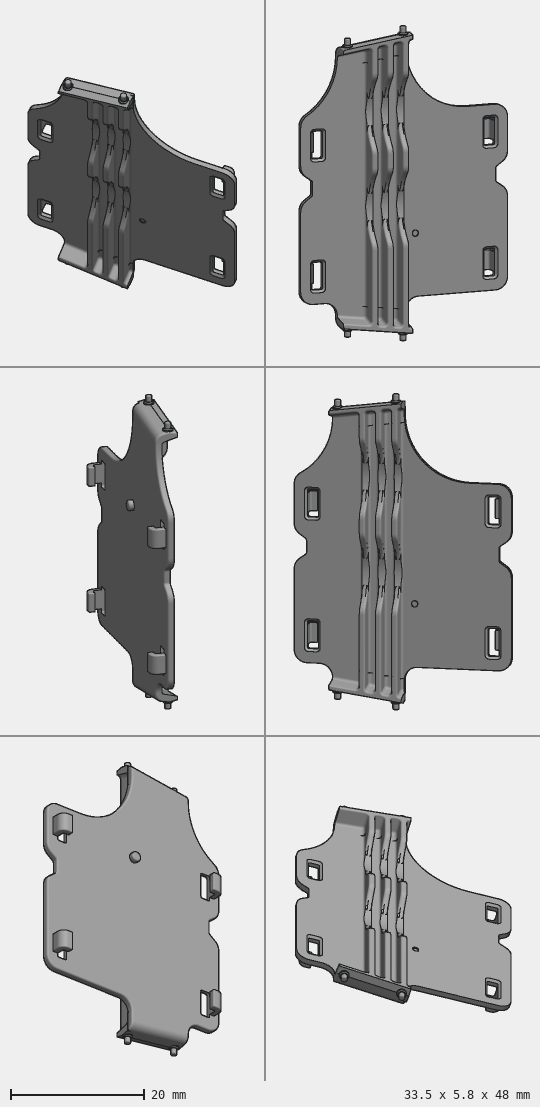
import cadquery as cq
import math

overall_length = 48.05
plate_width = 33.5
plate_thick = 1.0
plate_top = 10.65
plate_bottom = -17.75
corner_radius = 2.0
back_edge_radius = 0.3
half_width = plate_width / 2

neck_left = -10.8
neck_right = 0.25
neck_left_end = 19.95
neck_right_end = 20.75
shoulder_radius = 10.0
left_shoulder_z = 19.8
neck_foot_radius = 2.0

notch_depth = 1.9
notch_floor = 2.2
notch_mouth = 4.9
notch_root_radius = 0.5
notch_lip_radius = 2.0

front_y = -3.5
flange_right = 0.4
flange_slope = 7.7
ridge_y = -2.3
ridge_drop = 0.25
flange_bend_radius = 1.3
flange_lip_z = 20.6
flange_root_z = 20.0
flange_root_radius = 0.5
flange_foot_depth = 1.9
flange_excess = 2.4

pin_xs = (-9.7, -0.7)
pin_radius = 0.5
pin_height = 1.15
pin_root = 0.7
pin_tip_radius = 0.215
collar_radius = 0.75
collar_height = 0.2
collar_chamfer = 0.187
collar_root = 0.5

slope_rise = math.tan(math.radians(flange_slope))
ridge_z = overall_length / 2 - pin_height - (pin_xs[-1] - neck_left) * slope_rise

rib_pitch = 2.5
rib_count = 3
first_rib_x = -5.65
rib_xs = [first_rib_x + i * rib_pitch for i in range(rib_count)]
rib_width = 0.95
rib_top_radius = 0.3
rib_end_gap = 0.6
rib_foot_radius = 0.4
pocket_corner_radius = 0.55

scallop_zs = (11.1, -3.4)
scallop_radius = 7.5
scallop_floor = 0.1
scallop_lip_radius = 1.75
scallop_left = -9.6
scallop_length = 12.0

slot_center_x = 13.95
slot_width = 1.7
slot_height = 4.25
slot_corner_radius = 0.25
slot_chamfer = 0.4
hook_zs = (6.55, -13.5)
hook_length = 3.05
hook_thick = 0.95
hook_reach = 2.3
hook_tip_x = 13.7
hook_outer_radius = 1.2
hook_inner_radius = 0.3
hook_edge_radius = 0.2

boss_radius = 0.8
boss_height = 0.8
boss_edge_radius = 0.3
dimple_x = 1.85
dimple_z = -8.07
dimple_radius = 0.5
dimple_depth = 0.2

overlap = 0.25
tiny = 0.025
far = 47.6


def front_plane(y=0.0):
    """XZ workplane at the given Y; extrusions run towards -Y."""
    return cq.Workplane("XZ", origin=(0, y, 0))


def box_edges(body, low, high):
    """Edges of the body whose midpoints lie in the box between two corners."""
    return body.edges(cq.selectors.BoxSelector(low, high))


def add_mirrored(body, plane):
    return body.union(body.mirror(plane))


def ridge_height(x):
    """Z of the top flange's ridge."""
    return ridge_z + (x - neck_left) * slope_rise


def round_corners(body, points, radius):
    """Fillet the edges parallel to Y that pass through the given (x, z) points."""
    for x, z in points:
        low = (x - tiny, -far, z - tiny)
        high = (x + tiny, far, z + tiny)
        body = box_edges(body.edges("|Y"), low, high).fillet(radius)
    return body


def make_plate():
    """Flat plate with curved shoulders, side notches and rounded corners."""
    left_center_x = neck_left - shoulder_radius
    side_dx = -half_width - left_center_x
    left_shoulder_end = left_shoulder_z - math.sqrt(shoulder_radius**2 - side_dx**2)
    sweep_mid = math.asin(side_dx / shoulder_radius) / 2 + math.pi / 4
    left_mid = (
        left_center_x + shoulder_radius * math.sin(sweep_mid),
        left_shoulder_z - shoulder_radius * math.cos(sweep_mid),
    )
    right_shoulder_z = plate_top + shoulder_radius
    diagonal = shoulder_radius * math.sqrt(0.5)
    right_mid = (neck_right + shoulder_radius - diagonal, right_shoulder_z - diagonal)

    body = (
        front_plane()
        .moveTo(neck_left, neck_left_end)
        .lineTo(neck_left, left_shoulder_z)
        .threePointArc(left_mid, (-half_width, left_shoulder_end))
        .lineTo(-half_width, plate_bottom)
        .lineTo(neck_left, plate_bottom)
        .lineTo(neck_left, -neck_left_end)
        .lineTo(neck_right, -neck_right_end)
        .lineTo(neck_right, plate_bottom)
        .lineTo(half_width, plate_bottom)
        .lineTo(half_width, plate_top)
        .lineTo(neck_right + shoulder_radius, plate_top)
        .threePointArc(right_mid, (neck_right, right_shoulder_z))
        .lineTo(neck_right, neck_right_end)
        .close()
        .extrude(plate_thick)
    )
    for side in (-1, 1):
        mouth_x = side * half_width
        floor_x = side * (half_width - notch_depth)
        lips = [(mouth_x, notch_mouth / 2), (mouth_x, -notch_mouth / 2)]
        roots = [(floor_x, -notch_floor / 2), (floor_x, notch_floor / 2)]
        notch = front_plane(overlap).polyline(lips + roots).close()
        body = body.cut(notch.extrude(plate_thick + 2 * overlap))
        body = round_corners(body, lips, notch_lip_radius)
        body = round_corners(body, roots, notch_root_radius)

    outer_corners = [
        (-half_width, left_shoulder_end),
        (-half_width, plate_bottom),
        (half_width, plate_bottom),
        (half_width, plate_top),
    ]
    body = round_corners(body, outer_corners, corner_radius)
    feet = [(neck_left, plate_bottom), (neck_right, plate_bottom)]
    return round_corners(body, feet, neck_foot_radius)


def make_top_flange():
    """Ridged bar that slopes up along +X, left overlong at both ends."""
    back_z = ridge_z - ridge_drop * abs(ridge_y) / abs(front_y - ridge_y)
    foot_z = flange_root_z - flange_foot_depth
    bar = (
        cq.Workplane("YZ", origin=(neck_left - flange_excess, 0, 0))
        .polyline(
            [
                (0, back_z),
                (ridge_y, ridge_z),
                (front_y, ridge_z - ridge_drop),
                (front_y, flange_lip_z),
                (-plate_thick, flange_root_z),
                (-plate_thick, foot_z),
                (0, foot_z),
            ]
        )
        .close()
        .extrude(flange_right - neck_left + 2 * flange_excess)
    )
    for y, z, radius in (
        (0, back_z, flange_bend_radius),
        (-plate_thick, flange_root_z, flange_root_radius),
    ):
        low = (-far, y - tiny, z - tiny)
        high = (far, y + tiny, z + tiny)
        bar = box_edges(bar, low, high).fillet(radius)
    return bar.rotate((neck_left, 0, ridge_z), (neck_left, 1, ridge_z), -flange_slope)


def trim_to_neck(body):
    """Cut the ends off level with the neck; the front part reaches a little further right."""
    front_zone = cq.Workplane("XY").box(
        flange_right - neck_left, far, 2 * far, centered=(False, False, True)
    )
    front_zone = front_zone.translate((neck_left, -far - plate_thick, 0))
    back_zone = cq.Workplane("XY").box(
        neck_right - neck_left, far, 2 * far, centered=(False, False, True)
    )
    back_zone = back_zone.translate((neck_left, -plate_thick, 0))
    return body.intersect(front_zone.union(back_zone))


def make_pin(x):
    """Round-tipped pin with a conical collar, rooted in the top flange."""
    base = ridge_height(x)
    pin = (
        cq.Workplane("XY", origin=(x, ridge_y, base - pin_root))
        .circle(pin_radius)
        .extrude(pin_height + pin_root)
        .faces(">Z")
        .fillet(pin_tip_radius)
    )
    collar = (
        cq.Workplane("XY", origin=(x, ridge_y, base - collar_root))
        .circle(collar_radius)
        .extrude(collar_root + collar_height)
        .faces(">Z")
        .chamfer(collar_chamfer)
    )
    return pin.union(collar)


def make_scallops():
    """Long cutters across all the ribs, each with rounded-over lips."""
    center_y = -plate_thick - scallop_floor - scallop_radius
    lip_center_y = front_y + scallop_lip_radius
    center_gap = scallop_radius + scallop_lip_radius
    reach = math.sqrt(center_gap**2 - (lip_center_y - center_y) ** 2)
    share = scallop_radius / center_gap
    touch_z = reach * share
    touch_y = center_y + (lip_center_y - center_y) * share
    lip_turn = math.atan2(reach, lip_center_y - center_y) / 2
    lip_mid_z = reach - scallop_lip_radius * math.sin(lip_turn)
    lip_mid_y = lip_center_y - scallop_lip_radius * math.cos(lip_turn)
    cutter = cq.Workplane("XY")
    for z in scallop_zs:
        scallop = (
            cq.Workplane("YZ", origin=(scallop_left, 0, z))
            .moveTo(front_y, -reach)
            .threePointArc((lip_mid_y, -lip_mid_z), (touch_y, -touch_z))
            .threePointArc((center_y + scallop_radius, 0), (touch_y, touch_z))
            .threePointArc((lip_mid_y, lip_mid_z), (front_y, reach))
            .lineTo(front_y - overlap, reach)
            .lineTo(front_y - overlap, -reach)
            .close()
            .extrude(scallop_length)
        )
        cutter = cutter.add(scallop)
    return cutter.combine()


def make_rib(x, scallops):
    """One rib between the flanges, sunk into the plate and cut by the scallops."""
    length = 2 * (ridge_height(x) - rib_end_gap)
    depth = -front_y - plate_thick + overlap
    rib = cq.Workplane("XY").box(rib_width, depth, length, centered=(True, False, True))
    return rib.translate((x, front_y, 0)).cut(scallops)


def round_pockets(frame):
    """Round the corners between ribs and flanges, then the front rim around each pocket."""
    walls = [x + side * rib_width / 2 for x in rib_xs for side in (-1, 1)]
    for wall_x in walls:
        low = (wall_x - tiny, front_y + overlap, flange_root_z)
        high = (wall_x + tiny, -plate_thick - overlap, far)
        top_corner = box_edges(frame, low, high)
        low = (wall_x - tiny, front_y + overlap, -far)
        high = (wall_x + tiny, -plate_thick - overlap, -flange_root_z)
        corners = top_corner.add(box_edges(frame, low, high))
        frame = corners.fillet(pocket_corner_radius)
    one_wall_per_pocket = walls[0::2] + walls[-1:]
    for wall_x in one_wall_per_pocket:
        low = (wall_x - tiny, front_y - tiny, -far)
        high = (wall_x + tiny, front_y + tiny, far)
        frame = box_edges(frame, low, high).fillet(rib_top_radius)
    return frame


def make_rib_foot(x, scallops):
    """Concave blends along both sides of a rib where it meets the plate."""
    outer = rib_width / 2 + rib_foot_radius
    length = 2 * flange_root_z
    foot = cq.Workplane("XY").box(2 * outer, rib_foot_radius + overlap, length)
    foot = foot.translate((x, -plate_thick - (rib_foot_radius - overlap) / 2, 0))
    for side in (-1, 1):
        center = (x + side * outer, -plate_thick - rib_foot_radius, -length / 2)
        foot = foot.cut(cq.Workplane("XY", origin=center).circle(rib_foot_radius).extrude(length))
    return foot.cut(scallops)


def make_hook(z):
    """Left-hand hook behind the plate, reaching over its slot."""
    inner_x = -(slot_center_x + slot_width / 2)
    outer_x = inner_x - hook_thick
    under_y = hook_reach - hook_thick
    hook = (
        cq.Workplane("XY", origin=(0, 0, z - hook_length / 2))
        .polyline(
            [
                (outer_x, -overlap),
                (outer_x, hook_reach),
                (-hook_tip_x, hook_reach),
                (-hook_tip_x, under_y),
                (inner_x, under_y),
                (inner_x, -overlap),
            ]
        )
        .close()
        .extrude(hook_length)
    )
    hook = hook.edges("|Z").edges("<X").edges(">Y").fillet(hook_outer_radius)
    low = (inner_x - tiny, under_y - tiny, -far)
    high = (inner_x + tiny, under_y + tiny, far)
    hook = box_edges(hook.edges("|Z"), low, high).fillet(hook_inner_radius)
    outside = box_edges(hook, (-far, tiny, -far), (inner_x - tiny, far, far))
    tip = box_edges(hook, (-hook_tip_x - tiny, under_y + tiny, -far), (0, far, far))
    return outside.add(tip).fillet(hook_edge_radius)


def make_slot(z):
    """Cutter for the left-hand slot, flared towards the front face."""
    hole = (
        front_plane(overlap)
        .center(-slot_center_x, z)
        .rect(slot_width, slot_height)
        .extrude(plate_thick + 2 * overlap)
        .edges("|Y")
        .fillet(slot_corner_radius)
    )
    rim = (
        cq.Sketch()
        .rect(slot_width + 2 * slot_chamfer, slot_height + 2 * slot_chamfer)
        .vertices()
        .fillet(slot_corner_radius + slot_chamfer)
    )
    flare = (
        front_plane(-plate_thick)
        .center(-slot_center_x, z)
        .placeSketch(rim)
        .extrude(-slot_chamfer, taper=45)
    )
    return hole.union(flare)


def round_back_edges(body):
    """Round the back outline from its straight sides on, and the left ends of both ridges."""
    edges = box_edges(body.edges("|Z"), (-far, -tiny, -far), (far, tiny, far))
    crest_z = ridge_z - ridge_drop
    for low_z, high_z in ((crest_z, far), (-far, -crest_z)):
        low = (neck_left - tiny, front_y, low_z)
        high = (neck_left + tiny, -plate_thick - tiny, high_z)
        edges = edges.add(box_edges(body, low, high))
    return edges.fillet(back_edge_radius)


scallops = make_scallops()

frame = add_mirrored(make_top_flange(), "XY")
for x in rib_xs:
    frame = frame.union(make_rib(x, scallops))
frame = trim_to_neck(round_pockets(frame))

result = round_back_edges(make_plate().union(frame))

for x in rib_xs:
    result = result.union(make_rib_foot(x, scallops))

for x in pin_xs:
    result = result.union(add_mirrored(make_pin(x), "XY"))

for z in hook_zs:
    result = result.union(add_mirrored(make_hook(z), "YZ"))
    result = result.cut(add_mirrored(make_slot(z), "YZ"))

boss = front_plane(-overlap).center(0, hook_zs[0]).circle(boss_radius)
boss = boss.extrude(-boss_height - overlap)
result = result.union(boss.faces(">Y").edges().fillet(boss_edge_radius))

dimple = front_plane(-plate_thick).center(dimple_x, dimple_z).circle(dimple_radius)
result = result.cut(dimple.extrude(-dimple_depth))